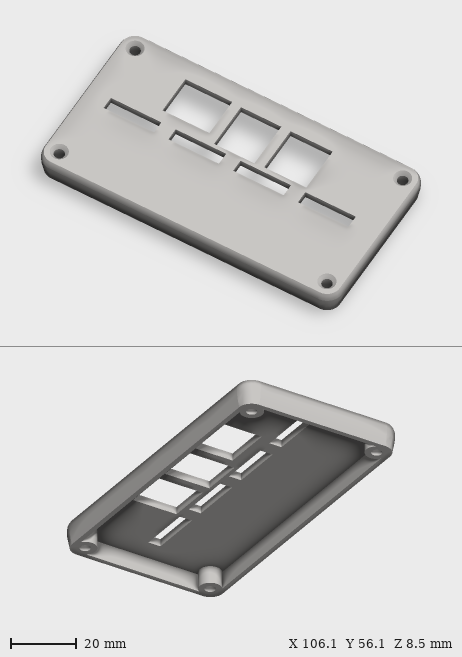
import cadquery as cq
import math

LENGTH = 106.1
WIDTH = 56.1
HEIGHT = 8.5
CORNER_RADIUS = 5.3
CORNER_X = LENGTH / 2 - CORNER_RADIUS
CORNER_Y = WIDTH / 2 - CORNER_RADIUS

CROWN_HEIGHT = 6.0
TOP_INSET = 0.8
BOTTOM_INSET = 0.8

PLATE_THICKNESS = 2.5
WALL_THICKNESS = 2.5
CAVITY_HEIGHT = HEIGHT - PLATE_THICKNESS

SCREW_DIAMETER = 3.5
SINK_DIAMETER = 5.8
SINK_DEPTH = 1.2
SINK_ANGLE = 2 * math.degrees(math.atan((SINK_DIAMETER - SCREW_DIAMETER) / 2 / SINK_DEPTH))
BOSS_DIAMETER = 7.4
SCREW_INSET = 5.5

WINDOWS = [
    (-28.4, -11.8, 6.9, 20.5),
    (-8.5, 5.8, 4.1, 20.2),
    (9.1, 24.1, 4.5, 20.2),
]

SLOT_COUNT = 4
SLOT_LENGTH = 17.9
SLOT_WIDTH = 4.4
SLOT_PITCH = 23.0
SLOT_ROW_X = -0.8
SLOT_ROW_Y = 0.6


def corner_points(x, y):
    """Four points mirrored about both centre lines."""
    return [(side_x * x, side_y * y) for side_x in (-1, 1) for side_y in (-1, 1)]


SCREW_POINTS = corner_points(LENGTH / 2 - SCREW_INSET, WIDTH / 2 - SCREW_INSET)


def arc_middle(inset, rise):
    """Inset and rise, from the crown, halfway along an arc that leaves the crown vertically."""
    radius = (inset**2 + rise**2) / (2 * inset)
    half_angle = math.asin(rise / radius) / 2
    return radius * (1 - math.cos(half_angle)), radius * math.sin(half_angle)


LOWER_MIDDLE = arc_middle(BOTTOM_INSET, CROWN_HEIGHT)
UPPER_MIDDLE = arc_middle(TOP_INSET, HEIGHT - CROWN_HEIGHT)


def bulged_side(sketch, half_width):
    """Draw the outer side from its bottom edge, over the crown, to its top edge."""
    return (
        sketch.moveTo(half_width - BOTTOM_INSET, 0)
        .threePointArc(
            (half_width - LOWER_MIDDLE[0], CROWN_HEIGHT - LOWER_MIDDLE[1]),
            (half_width, CROWN_HEIGHT),
        )
        .threePointArc(
            (half_width - UPPER_MIDDLE[0], CROWN_HEIGHT + UPPER_MIDDLE[1]),
            (half_width - TOP_INSET, HEIGHT),
        )
    )


def bulged_bar(plane, half_width, half_length):
    """Symmetric bulged section extruded both ways along the plane normal."""
    half = (
        bulged_side(cq.Workplane(plane), half_width)
        .lineTo(0, HEIGHT)
        .lineTo(0, 0)
        .close()
        .extrude(half_length, both=True)
    )
    return half.union(half.rotate((0, 0, 0), (0, 0, 1), 180))


def outer_body():
    """Two crossed bars joined by a turned piece at each corner."""
    corner = (
        bulged_side(cq.Workplane("XZ"), CORNER_RADIUS)
        .lineTo(0, HEIGHT)
        .lineTo(0, 0)
        .close()
        .revolve(360, (0, 0, 0), (0, 1, 0))
    )
    body = bulged_bar("XZ", LENGTH / 2, CORNER_Y).union(bulged_bar("YZ", WIDTH / 2, CORNER_X))
    for x, y in corner_points(CORNER_X, CORNER_Y):
        body = body.union(corner.translate((x, y, 0)))
    return body.clean()


def cavity():
    """Space under the plate, with the screw bosses left standing."""
    space = (
        cq.Workplane("XY")
        .rect(LENGTH - 2 * WALL_THICKNESS, WIDTH - 2 * WALL_THICKNESS)
        .extrude(CAVITY_HEIGHT)
        .edges("|Z")
        .fillet(CORNER_RADIUS - WALL_THICKNESS)
    )
    bosses = cq.Workplane("XY").pushPoints(SCREW_POINTS).circle(BOSS_DIAMETER / 2).extrude(CAVITY_HEIGHT)
    return space.cut(bosses)


def window_cutter(left, right, bottom, top):
    return (
        cq.Workplane("XY")
        .center((left + right) / 2, (bottom + top) / 2)
        .rect(right - left, top - bottom)
        .extrude(HEIGHT)
    )


result = outer_body().cut(cavity())

for window in WINDOWS:
    result = result.cut(window_cutter(*window))

slots = (
    cq.Workplane("XY")
    .center(SLOT_ROW_X, SLOT_ROW_Y)
    .rarray(SLOT_PITCH, 1.1, SLOT_COUNT, 1)
    .rect(SLOT_LENGTH, SLOT_WIDTH)
    .extrude(HEIGHT)
)
result = result.cut(slots)

result = (
    result.copyWorkplane(cq.Workplane("XY", origin=(0, 0, HEIGHT)))
    .pushPoints(SCREW_POINTS)
    .cskHole(SCREW_DIAMETER, SINK_DIAMETER, SINK_ANGLE)
)